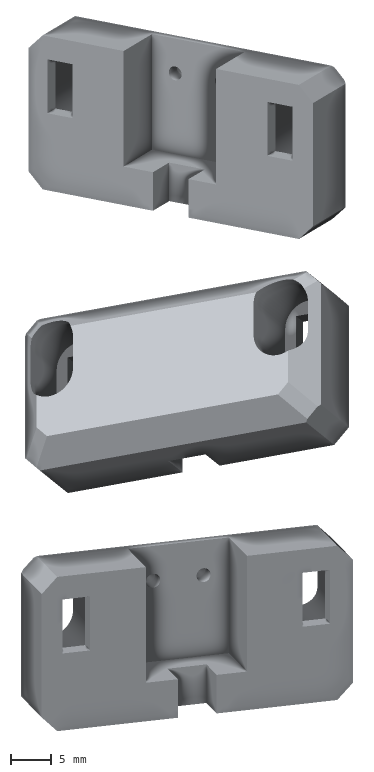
import cadquery as cq
import math

width = 40.0
depth = 11.0
height = 20.0
back_chamfer = 3.0
corner_leg = 2.0
bevel_corner_leg = 1.4

feature_x = -0.1

pocket_width = 13.0
pocket_depth = 7.0
pocket_floor_z = -5.0
slot_width = 5.0
slot_depth = 4.0

hole_diameter = 1.8
hole_spacing = 6.5
hole_z = 5.5
hole_depth = 2.0
drill_tip_angle = 118.0

window_width = 3.5
window_height = 7.0
window_spacing = 30.9
window_z = window_height / 2
window_wall = 2.0
recess_width = 6.5
recess_height = 10.55


def block(x, z, size_x, size_z, y_start, y_end):
    """Box centred at (x, z), running from y_start to y_end."""
    return cq.Workplane("XY").box(size_x, y_end - y_start, size_z).translate(
        (x, (y_start + y_end) / 2, z)
    )


def corner_cutter(side_x, side_z):
    """Wedge that trims one upright corner and the sloping ridge behind it."""
    plane = cq.Plane(
        origin=(0, 0, 0),
        xDir=(side_x, 0, side_z),
        normal=(-side_z, 0, side_x),
    )
    diagonal = math.sqrt(2)
    corner_sum = (width + height) / 2
    wall = (corner_sum - corner_leg) / diagonal
    back_edge = (corner_sum - 2 * back_chamfer - bevel_corner_leg) / diagonal
    bevel_start_y = depth - back_chamfer + (corner_leg - bevel_corner_leg) / 2
    outside = corner_sum
    profile = [
        (wall, 0),
        (wall, bevel_start_y),
        (back_edge, depth),
        (outside, depth),
        (outside, 0),
    ]
    return cq.Workplane(plane).polyline(profile).close().extrude(width, both=True)


def drilled_hole(x):
    """Blind hole with a conical drill tip, starting at the pocket's back wall."""
    radius = hole_diameter / 2
    tip_length = radius / math.tan(math.radians(drill_tip_angle / 2))
    profile = [(0, 0), (radius, 0), (radius, hole_depth), (0, hole_depth + tip_length)]
    drill = cq.Workplane("XY").polyline(profile).close().revolve(360, (0, 0), (0, 1))
    return drill.translate((x, pocket_depth, hole_z))


def strap_opening(x):
    """Window through the front wall joined to the round-ended back recess."""
    window = block(x, window_z, window_width, window_height, 0, depth)
    recess = (
        cq.Workplane("XZ", origin=(x, window_wall, window_z))
        .slot2D(recess_height, recess_width, 90)
        .extrude(window_wall - depth)
    )
    return window.union(recess)


result = block(0, 0, width, height, 0, depth).faces(">Y").chamfer(back_chamfer)

for side_x in (-1, 1):
    for side_z in (-1, 1):
        result = result.cut(corner_cutter(side_x, side_z))

pocket_height = height / 2 - pocket_floor_z
pocket_z = pocket_floor_z + pocket_height / 2
result = result.cut(block(feature_x, pocket_z, pocket_width, pocket_height, 0, pocket_depth))
result = result.cut(block(0, 0, slot_width, height, 0, slot_depth))

for side in (-1, 1):
    result = result.cut(drilled_hole(feature_x + side * hole_spacing / 2))
    result = result.cut(strap_opening(feature_x + side * window_spacing / 2))